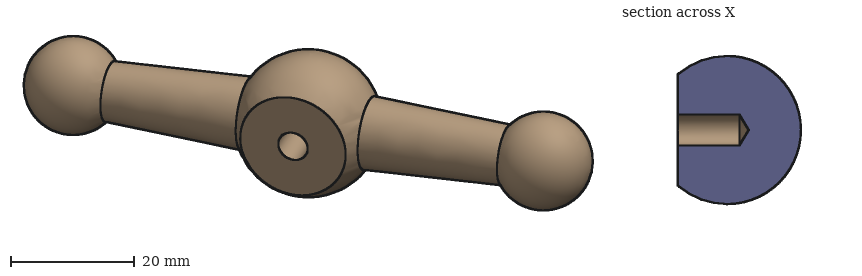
import cadquery as cq
import math

overall_length = 95.9
end_ball_diameter = 16.0
hub_diameter = 24.0
flat_distance = 8.0
hole_diameter = 5.0
hole_depth = 10.0
drill_tip_angle = 118.0

arm_hub_x = 10.4
arm_hub_radius = 6.0
arm_end_x = 33.6
arm_end_radius = 5.0

end_ball_radius = end_ball_diameter / 2
end_ball_x = overall_length / 2 - end_ball_radius


def make_hub():
    """Ball with its -Y side cut flat."""
    ball = cq.Workplane("XY").sphere(hub_diameter / 2)
    waste = (
        cq.Workplane("XY")
        .box(hub_diameter, hub_diameter, hub_diameter)
        .translate((0, -flat_distance - hub_diameter / 2, 0))
    )
    return ball.cut(waste)


def make_arm(side):
    """Tapered arm, running from inside the hub to inside the end ball."""
    return (
        cq.Workplane("XY")
        .polyline([
            (0, 0),
            (0, arm_hub_radius),
            (side * arm_hub_x, arm_hub_radius),
            (side * arm_end_x, arm_end_radius),
            (side * end_ball_x, arm_end_radius),
            (side * end_ball_x, 0),
        ])
        .close()
        .revolve(360, (0, 0, 0), (1, 0, 0))
    )


def make_end_ball(side):
    return cq.Workplane("XY").sphere(end_ball_radius).translate((side * end_ball_x, 0, 0))


def make_hole():
    """Blind drilled hole running inwards (+Y) from the flat, with a conical bottom."""
    hole_radius = hole_diameter / 2
    tip_length = hole_radius / math.tan(math.radians(drill_tip_angle / 2))
    bottom_y = hole_depth - flat_distance
    return (
        cq.Workplane("XY")
        .polyline([
            (0, -flat_distance),
            (hole_radius, -flat_distance),
            (hole_radius, bottom_y),
            (0, bottom_y + tip_length),
        ])
        .close()
        .revolve(360, (0, 0, 0), (0, 1, 0))
    )


result = make_hub()
for side in (-1, 1):
    result = result.union(make_arm(side)).union(make_end_ball(side))
result = result.cut(make_hole())